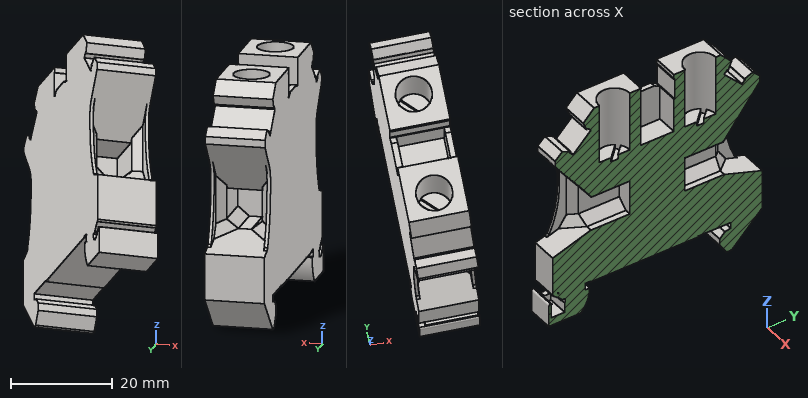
import cadquery as cq
import math

width = 12.15
height = 49.85
half_length = 25.05
body_base = 6.95
base_edge = 7.3
half_width = width / 2

gap_half = 3.9
gap_lip = 1.3
blind_floor = 35.7
undercut = 0.15
undercut_top = 48.65
undercut_bottom = 43.75

screw_y = 10.25
screw_radius = 3.6
drive_width = 1.1
drive_depth = 1.0
drive_angle = -45

roof_outer = (24.5, 39.05)
roof_slope = 1.29
floor_outer_z = 16.75
floor_slope = 0.33
waist_y = 19.75
waist_top = 31.2
waist_bottom = 28.95
wall_foot = (22.2, 17.95)
wall_end_y = 22.75
side_wall = 0.7
mouth_half = half_width - side_wall
tunnel_half = screw_radius
tunnel_top = 27.8
tunnel_floor = 19.75
tunnel_end = screw_y - screw_radius
flare_y = 16.35
corner_half = 1.35
corner_top = 21.7

lip_y = half_length - 51
lip_top = 5.55
lip_radius = 0.5
lip_wall = 0.6
release_wall = 1.35
release_back = -22.2
release_top = 5.25
release_floor = 2.05

strip_depth = 0.2
strip_start = -15.95
strip_end = 9.8


def roof_z(y):
    return roof_outer[1] - roof_slope * (roof_outer[0] - y)


def roof_y(z):
    return roof_outer[0] - (roof_outer[1] - z) / roof_slope


def floor_z(y):
    return floor_outer_z + floor_slope * (half_length - y)


def floor_y(z):
    return half_length - (z - floor_outer_z) / floor_slope


def across(profile):
    """Extrude a closed YZ profile over the full width."""
    return profile.close().extrude(half_width, both=True)


def polygon(points):
    return cq.Workplane("YZ").polyline(points)


def both_ends(shape):
    return shape.union(shape.mirror("XZ"))


def half_body():
    waist_corner_z = roof_z(waist_y)
    tangent_length = waist_corner_z - waist_top
    bend_y = waist_y + tangent_length / math.hypot(1, roof_slope)
    profile = (
        cq.Workplane("YZ")
        .moveTo(0, body_base)
        .lineTo(0, height)
        .lineTo(15.15, height)
        .lineTo(17.75, 47.1)
        .lineTo(16.95, 45.15)
        .lineTo(16.7, 45.3)
        .lineTo(15.95, 44.55)
        .lineTo(20.15, 40.4)
        .lineTo(20.9, 41.15)
        .lineTo(20.7, 41.35)
        .lineTo(22.75, 42.25)
        .lineTo(24.5, 40.6)
        .lineTo(*roof_outer)
        .lineTo(bend_y, roof_z(bend_y))
        .tangentArcPoint((waist_y, waist_top), relative=False)
        .lineTo(waist_y, waist_bottom)
        .tangentArcPoint(wall_foot, relative=False)
        .lineTo(wall_end_y, floor_z(wall_end_y))
        .lineTo(half_length, floor_outer_z)
        .lineTo(half_length, base_edge)
        .lineTo(half_length - base_edge + body_base, body_base)
    )
    return across(profile)


def fixed_foot():
    return across(polygon([
        (half_length, base_edge),
        (17.75, 0),
        (16.5, 0),
        (14.85, 2.5),
        (14.85, 4.1),
        (16.05, 5.35),
        (17.45, 5.65),
        (17.45, base_edge),
    ]))


def spring_foot():
    profile = (
        cq.Workplane("YZ")
        .moveTo(-half_length, base_edge)
        .lineTo(-23.0, 5.55)
        .lineTo(-23.0, release_top)
        .lineTo(-22.15, release_top)
        .threePointArc((-22.55, 3.95), (-23.9, 4.0))
        .lineTo(lip_y + lip_radius, lip_top)
        .radiusArc((lip_y, lip_top - lip_radius), -lip_radius)
        .lineTo(lip_y, 0)
        .lineTo(-18.2, 0)
        .threePointArc((-16.7, 2.5), (-16.15, 5.45))
        .lineTo(-17.15, 5.45)
        .lineTo(-17.15, base_edge)
    )
    return across(profile).cut(release_pocket())


def release_pocket():
    """Deeper part of the release slot, walled off at the -X side and open at the +X side."""
    pocket_start = lip_y + lip_wall
    return (
        cq.Workplane("XY", origin=(release_wall - half_width, pocket_start, release_floor))
        .box(width, release_back - pocket_start, release_top - release_floor, centered=False)
    )


def base_strip():
    """Thin raised strip on the underside of the body."""
    return across(polygon([
        (strip_start, body_base - strip_depth),
        (strip_end, body_base - strip_depth),
        (strip_end, base_edge),
        (strip_start, base_edge),
    ]))


def top_gap():
    gap = across(polygon([
        (gap_half, height),
        (gap_half, undercut_top),
        (gap_half + undercut, undercut_top),
        (gap_half + undercut, undercut_bottom),
        (gap_half, undercut_bottom),
        (2.55, 44.5),
        (-2.5, 44.5),
        (-2.95, 44.15),
        (-gap_half, 44.15),
        (-gap_half, height),
    ]))
    pocket_height = height - blind_floor
    pocket = (
        cq.Workplane("XY", origin=(0, 0, blind_floor))
        .rect(width - 2 * gap_lip, 2 * gap_half)
        .extrude(pocket_height)
    )
    return gap.union(pocket)


def screw_hole(y):
    seat = cq.Workplane("XY", origin=(0, y, blind_floor))
    hole = seat.circle(screw_radius).extrude(height - blind_floor)
    drive = (
        seat.transformed(rotate=(0, 0, drive_angle))
        .rect(2 * screw_radius, drive_width)
        .extrude(-drive_depth)
        .intersect(seat.circle(screw_radius).extrude(-drive_depth))
    )
    return hole.union(drive)


def corner_fill(side):
    """Sloped fill of one lower corner: straight along the tunnel, then splayed along the flare."""
    triangle = cq.Wire.makePolygon(
        [
            cq.Vector(side * corner_half, floor_y(tunnel_floor), tunnel_floor),
            cq.Vector(side * tunnel_half, flare_y, corner_top),
            cq.Vector(side * tunnel_half, flare_y, floor_z(flare_y)),
        ],
        close=True,
    )
    run = half_length - flare_y
    flare = cq.Vector(side * run, run, -floor_slope * run)
    inward = cq.Vector(0, -flare_y, 0)
    splayed = cq.Solid.extrudeLinear(triangle, [], flare)
    straight = cq.Solid.extrudeLinear(triangle, [], inward)
    return cq.Workplane(splayed).union(cq.Workplane(straight))


def wire_entry():
    side_shape = across(polygon([
        (tunnel_end, tunnel_top),
        (roof_y(tunnel_top), tunnel_top),
        roof_outer,
        (half_length, roof_outer[1]),
        (half_length, floor_outer_z),
        (floor_y(tunnel_floor), tunnel_floor),
        (tunnel_end, tunnel_floor),
    ]))
    splay_end = flare_y + mouth_half - tunnel_half
    plan_shape = (
        cq.Workplane("XY")
        .polyline([
            (-tunnel_half, 0),
            (-tunnel_half, flare_y),
            (-mouth_half, splay_end),
            (-mouth_half, half_length),
            (mouth_half, half_length),
            (mouth_half, splay_end),
            (tunnel_half, flare_y),
            (tunnel_half, 0),
        ])
        .close()
        .extrude(height)
    )
    return side_shape.intersect(plan_shape).cut(corner_fill(1)).cut(corner_fill(-1))


result = both_ends(half_body()).union(fixed_foot()).union(spring_foot()).union(base_strip())
result = result.cut(top_gap()).cut(both_ends(wire_entry()))
for y in (-screw_y, screw_y):
    result = result.cut(screw_hole(y))